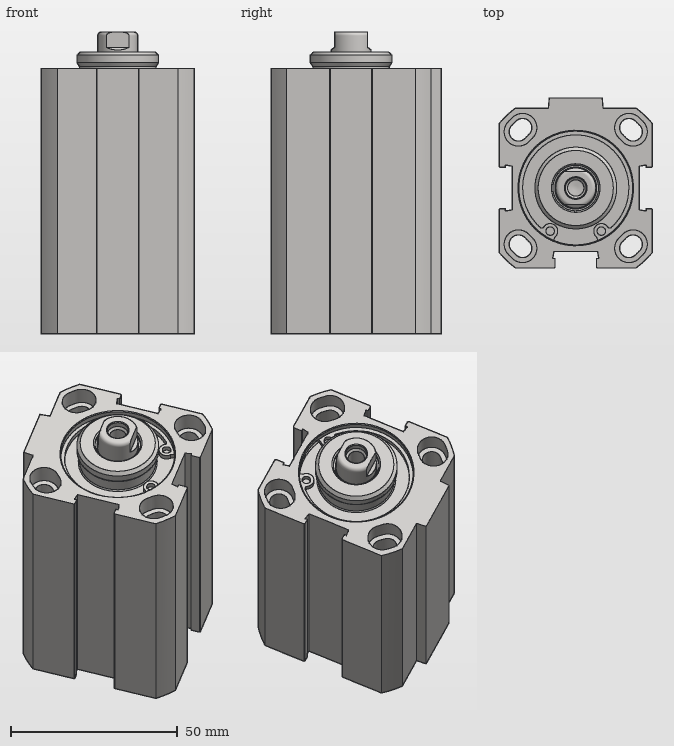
import cadquery as cq
import math

total_height = 90.5
housing_height = 79.55
collar_top = 84.5

half_width = 23.0
half_depth = 24.0
corner_radius = 30.05
rail_top = 27.1
rail_half_top = 8.0
rail_half_base = 8.2
slot_floor = 19.1
slot_lip = 21.1
slot_half_mouth = 6.15
slot_mouth_chamfer = 0.3
slot_half_undercut = 6.9
slot_half_floor = 6.5

mount_x = 16.6
mount_y = 17.5
mount_hole_diameter = 5.5
mount_bore_diameter = 8.6
mount_bore_depth = 6.0
mount_slot_travel = 1.7
mount_slot_angle = 45.0

bore_diameter = 34.1
bore_mouth_diameter = 34.7
groove_diameter = 35.8
ring_inner_diameter = 31.9
ring_thickness = 1.5
ring_depth = 2.0
ring_top = housing_height - ring_depth
head_face = ring_top - ring_thickness
head_length = 10.9
head_bottom = head_face - head_length

ear_radius = 2.3
ear_root_fillet = 0.7
ear_hole_diameter = 2.5
ear_distance = 15.0
ear_angle = 30.7

collar_diameter = 24.5
neck_diameter = 23.0
collar_bottom = housing_height + 0.5
collar_lower_chamfer = 1.2
collar_upper_chamfer = 1.0
neck_base_chamfer = 0.4
rod_diameter = 12.0
wiper_recess_diameter = 13.7
wiper_recess_depth = 1.4
wiper_chamfer = 0.45
clearance_diameter = 12.6
clearance_depth = 0.9

rod_edge_fillet = 1.2
flat_half_width = 5.0
flat_length = 4.6
flat_floor_slope = 37.0
socket_diameter = 6.2
socket_depth = 2.0
socket_chamfer = 0.3
thread_diameter = 4.9
thread_depth = 10.9
drill_point_half_angle = 83.0


def cylinder(diameter, bottom, top):
    return cq.Workplane("XY").workplane(offset=bottom).circle(diameter / 2).extrude(top - bottom)


def revolved(profile):
    """Turn a list of (radius, height) points around the Z axis."""
    return cq.Workplane("XZ").polyline(profile).close().revolve(360, (0, 0, 0), (0, 1, 0))


def profile_slot(face_distance):
    """Undercut slot along the whole height, opening in a face towards -Y."""
    right_side = [
        (slot_half_mouth + slot_mouth_chamfer, -face_distance),
        (slot_half_mouth, -face_distance + slot_mouth_chamfer),
        (slot_half_mouth, -slot_lip),
        (slot_half_undercut, -slot_lip),
        (slot_half_floor, -slot_floor),
    ]
    left_side = [(-x, y) for x, y in reversed(right_side)]
    return cq.Workplane("XY").polyline(right_side + left_side).close().extrude(housing_height)


def rail():
    """Tapered rail along the +Y side."""
    outline = [
        (-rail_half_base, slot_floor),
        (-rail_half_base, half_depth),
        (-rail_half_top, rail_top),
        (rail_half_top, rail_top),
        (rail_half_base, half_depth),
        (rail_half_base, slot_floor),
    ]
    return cq.Workplane("XY").polyline(outline).close().extrude(housing_height)


def mounting_slot(x, y, diameter, bottom):
    across_diagonal = -math.copysign(mount_slot_angle, x * y)
    return (
        cq.Workplane("XY", origin=(x, y, bottom))
        .slot2D(diameter + mount_slot_travel, diameter, across_diagonal)
        .extrude(housing_height - bottom)
    )


def make_housing():
    block = cq.Workplane("XY").rect(2 * half_width, 2 * half_depth).extrude(housing_height)
    body = block.intersect(cylinder(2 * corner_radius, 0, housing_height)).union(rail())
    for angle, face_distance in ((-90, half_width), (0, half_depth), (90, half_width)):
        body = body.cut(profile_slot(face_distance).rotate((0, 0, 0), (0, 0, 1), angle))
    for x in (-mount_x, mount_x):
        for y in (-mount_y, mount_y):
            body = body.cut(mounting_slot(x, y, mount_hole_diameter, 0))
            body = body.cut(mounting_slot(x, y, mount_bore_diameter, housing_height - mount_bore_depth))
    mouth_chamfer = (bore_mouth_diameter - bore_diameter) / 2
    bore_radius = bore_diameter / 2
    groove_radius = groove_diameter / 2
    cavity = revolved([
        (0, head_bottom),
        (bore_radius, head_bottom),
        (bore_radius, head_face),
        (groove_radius, head_face),
        (groove_radius, ring_top),
        (bore_radius, ring_top),
        (bore_radius, housing_height - mouth_chamfer),
        (bore_mouth_diameter / 2, housing_height),
        (0, housing_height),
    ])
    return body.cut(cavity)


def make_head():
    """Rod guide: a disc in the bore with a collar that stands out of the housing."""
    neck = neck_diameter / 2
    collar = collar_diameter / 2
    rod = rod_diameter / 2
    recess = wiper_recess_diameter / 2
    clearance = clearance_diameter / 2
    recess_floor = collar_top - wiper_recess_depth
    return revolved([
        (rod, head_bottom),
        (bore_diameter / 2, head_bottom),
        (bore_diameter / 2, head_face),
        (neck + neck_base_chamfer, head_face),
        (neck, head_face + neck_base_chamfer),
        (neck, collar_bottom),
        (collar, collar_bottom + collar_lower_chamfer),
        (collar, collar_top - collar_upper_chamfer),
        (collar - collar_upper_chamfer, collar_top),
        (recess + wiper_chamfer, collar_top),
        (recess, collar_top - wiper_chamfer),
        (recess, recess_floor),
        (clearance, recess_floor),
        (clearance, recess_floor - clearance_depth),
        (rod, recess_floor - clearance_depth),
    ])


def flat_cutter():
    """Material removed for the -Y wrench flat, with a floor that slopes down outwards."""
    floor = total_height - flat_length
    reach = rod_diameter / 2
    drop = reach * math.tan(math.radians(flat_floor_slope))
    outline = [
        (-flat_half_width, total_height),
        (-flat_half_width, floor),
        (-flat_half_width - reach, floor - drop),
        (-flat_half_width - reach, total_height),
    ]
    return cq.Workplane("YZ").polyline(outline).close().extrude(reach, both=True)


def make_rod():
    rod = cylinder(rod_diameter, head_bottom, total_height).faces(">Z").edges().fillet(rod_edge_fillet)
    socket = socket_diameter / 2
    thread = thread_diameter / 2
    thread_bottom = total_height - thread_depth
    socket_floor = total_height - socket_depth
    point_height = thread / math.tan(math.radians(drill_point_half_angle))
    rod = rod.cut(revolved([
        (0, thread_bottom - point_height),
        (thread, thread_bottom),
        (thread, socket_floor - (socket - thread)),
        (socket, socket_floor),
        (socket, total_height - socket_chamfer),
        (socket + socket_chamfer, total_height),
        (0, total_height),
    ]))
    for angle in (0, 180):
        rod = rod.cut(flat_cutter().rotate((0, 0, 0), (0, 0, 1), angle))
    return rod


def make_retaining_ring():
    """Internal snap ring, open towards -Y, with an eared end on each side of the gap."""
    ring = cylinder(groove_diameter, head_face, ring_top).cut(
        cylinder(ring_inner_diameter, head_face, ring_top)
    )
    ring_inner_radius = ring_inner_diameter / 2
    ear_span = math.acos(
        (ring_inner_radius**2 + ear_distance**2 - ear_radius**2) / (2 * ring_inner_radius * ear_distance)
    )
    gap_angle = math.radians(ear_angle) - ear_span
    gap_reach = groove_diameter
    gap_corner = gap_reach * math.tan(gap_angle)
    gap = (
        cq.Workplane("XY", origin=(0, 0, head_face))
        .polyline([(0, 0), (-gap_corner, -gap_reach), (gap_corner, -gap_reach)])
        .close()
        .extrude(ring_thickness)
    )
    ring = ring.cut(gap)
    ear_x = ear_distance * math.sin(math.radians(ear_angle))
    ear_y = -ear_distance * math.cos(math.radians(ear_angle))
    for x in (-ear_x, ear_x):
        ring = ring.union(cylinder(2 * ear_radius, head_face, ring_top).translate((x, ear_y, 0)))
    ear_roots = ring.edges("|Z").edges(">X or <X")
    ring = ear_roots.fillet(ear_root_fillet)
    for x in (-ear_x, ear_x):
        ring = ring.cut(cylinder(ear_hole_diameter, head_face, ring_top).translate((x, ear_y, 0)))
    return ring


housing = make_housing()
head = make_head()
rod = make_rod()
retaining_ring = make_retaining_ring()

result = cq.Compound.makeCompound([
    housing.solids().val(),
    head.solids().val(),
    rod.solids().val(),
    retaining_ring.solids().val(),
])